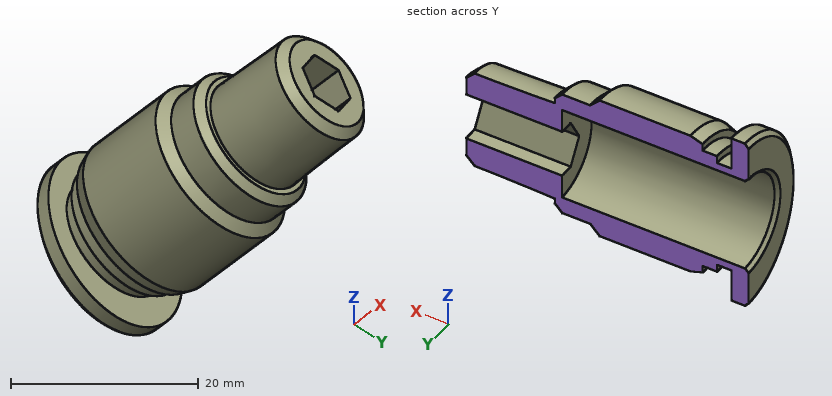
import cadquery as cq
import math


FLANGE_HEIGHT = 22.5
FLANGE_WIDTH = 19.5
FLANGE_THICKNESS = 2.2
FLANGE_CHAMFER_LENGTH = 0.45
FLANGE_CHAMFER_INSET = 0.55

NECK_END = 3.95
COLLAR_END = 5.77
BODY_START = 7.3
BODY_END = 18.7
SHOULDER_START = 19.85
SHOULDER_END = 23.35
STEM_START = 24.32
TIP_CHAMFER = 1.05
LENGTH = 35.4

NECK_DIAMETER = 14.2
COLLAR_DIAMETER = 16.07
BODY_LEAD_DIAMETER = 17.85
BODY_DIAMETER = 18.87
SHOULDER_DIAMETER = 16.5
SHOULDER_CHAMFER = STEM_START - SHOULDER_END
STEM_ROOT_DIAMETER = 13.3
STEM_END_DIAMETER = 12.9

BORE_DIAMETER = 12.05
BORE_DEPTH = SHOULDER_END
BORE_CHAMFER = 0.45
HEX_ACROSS_FLATS = 6.02
HEX_ACROSS_CORNERS = HEX_ACROSS_FLATS / math.cos(math.pi / 6)


def revolve_about_x(profile):
    """Turn (x, diameter) pairs, closed along the axis, into a solid of revolution."""
    points = [(x, diameter / 2) for x, diameter in profile]
    points = [(profile[0][0], 0)] + points + [(profile[-1][0], 0)]
    return cq.Workplane("XY").polyline(points).close().revolve(360, (0, 0, 0), (1, 0, 0))


def make_flange():
    """Elliptical plate, taller along Z, with a bevelled front rim."""
    half_width = FLANGE_WIDTH / 2
    half_height = FLANGE_HEIGHT / 2
    plate = (
        cq.Workplane("YZ", origin=(FLANGE_CHAMFER_LENGTH, 0, 0))
        .ellipse(half_width, half_height)
        .extrude(FLANGE_THICKNESS - FLANGE_CHAMFER_LENGTH)
    )
    bevel = (
        cq.Workplane("YZ")
        .ellipse(half_width - FLANGE_CHAMFER_INSET, half_height - FLANGE_CHAMFER_INSET)
        .workplane(offset=FLANGE_CHAMFER_LENGTH)
        .ellipse(half_width, half_height)
        .loft(ruled=True)
    )
    return plate.union(bevel)


def make_body():
    """Stepped turned body from the back of the flange to the tip of the tapered stem."""
    return revolve_about_x([
        (FLANGE_THICKNESS, NECK_DIAMETER),
        (NECK_END, NECK_DIAMETER),
        (NECK_END, COLLAR_DIAMETER),
        (COLLAR_END, COLLAR_DIAMETER),
        (COLLAR_END, BODY_LEAD_DIAMETER),
        (BODY_START, BODY_DIAMETER),
        (BODY_END, BODY_DIAMETER),
        (SHOULDER_START, SHOULDER_DIAMETER),
        (SHOULDER_END, SHOULDER_DIAMETER),
        (STEM_START, SHOULDER_DIAMETER - 2 * SHOULDER_CHAMFER),
        (STEM_START, STEM_ROOT_DIAMETER),
        (LENGTH - TIP_CHAMFER, STEM_END_DIAMETER),
        (LENGTH, STEM_END_DIAMETER - 2 * TIP_CHAMFER),
    ])


def make_tube_socket():
    """Flat-bottomed bore for the tube with a chamfered mouth."""
    return revolve_about_x([
        (0, BORE_DIAMETER + 2 * BORE_CHAMFER),
        (BORE_CHAMFER, BORE_DIAMETER),
        (BORE_DEPTH, BORE_DIAMETER),
    ])


def make_key_passage():
    """Hexagonal hole along the whole axis, with corners pointing along Y."""
    return cq.Workplane("YZ").polygon(6, HEX_ACROSS_CORNERS).extrude(LENGTH)


result = make_flange().union(make_body()).cut(make_tube_socket()).cut(make_key_passage())